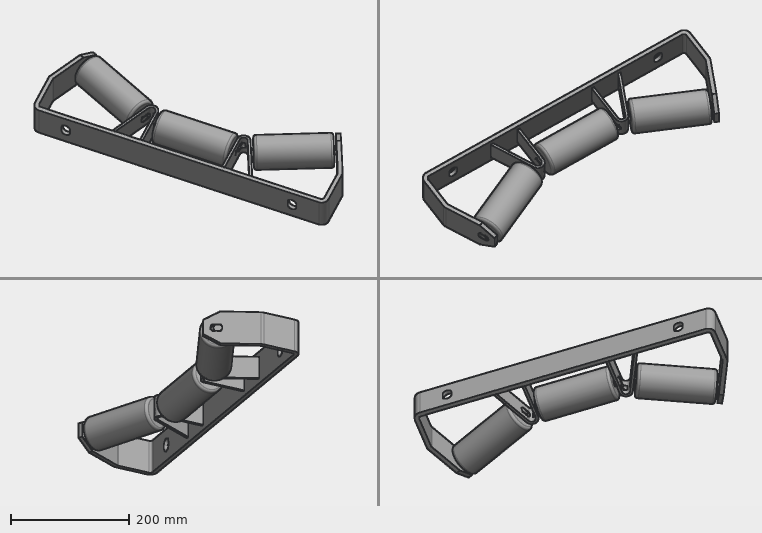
import cadquery as cq
import math


FRAME_LENGTH = 540.0
FRAME_DEPTH = 165.0
STRIP_HEIGHT = 60.0
STRIP_THICKNESS = 8.0
FRAME_BEND_RADIUS = 13.0
ARM_CORNER_Y = 74.5
TROUGH_ANGLE = 25.0
TIP_HEIGHT = 27.0
TIP_CUT_LENGTH = 29.0

MOUNT_SLOT_SPACING = 416.0
MOUNT_SLOT_HEIGHT = 24.0
MOUNT_SLOT_WIDTH = 15.5

BRACKET_HEIGHT = 40.0
BRACKET_THICKNESS = 5.0
BRACKET_FACE_X = 73.0
BRACKET_BEND_RADIUS = 12.0
BRACKET_BEND_Y = 81.5

ROLLER_DIAMETER = 60.0
ROLLER_LENGTH = 136.0
ROLLER_ROUNDING = 5.0
CENTER_ROLLER_Y = 71.0
SIDE_ROLLER_TO_TIP = 25.0
CENTER_AXIS_Z = -2.0
SIDE_AXIS_Z = -0.8

SHAFT_DIAMETER = 15.0
SHAFT_FLATS = 11.5
FLATS_LEAD = 1.5
SIDE_SLOT_LENGTH = 20.0
CENTER_SLOT_LENGTH = 28.0
SHAFT_SLOT_WIDTH = 13.0
CUT_MARGIN = 2.5

TILT = math.radians(TROUGH_ANGLE)
SIN, COS, TAN = math.sin(TILT), math.cos(TILT), math.tan(TILT)
HALF_LENGTH = FRAME_LENGTH / 2
TIP_X = -HALF_LENGTH + (FRAME_DEPTH - ARM_CORNER_Y) * TAN
BEND_CENTER_X = -BRACKET_FACE_X - BRACKET_BEND_RADIUS

CENTER_SPAN = 2 * BRACKET_FACE_X
ARM_TO_BRACKET = ((BEND_CENTER_X - TIP_X) * COS - (BRACKET_BEND_Y - FRAME_DEPTH) * SIN
                  - BRACKET_BEND_RADIUS)
SIDE_SPAN = ARM_TO_BRACKET - STRIP_THICKNESS
SIDE_SLOT_SHIFT = (SIDE_SLOT_LENGTH - SHAFT_DIAMETER) / 2
CENTER_SLOT_SHIFT = (CENTER_SLOT_LENGTH - SHAFT_DIAMETER) / 2


def arm_plane(below_tip, depth, z=0):
    """Plane parallel to the left arm: x up the arm, y along Z, normal into the frame.

    The origin is below_tip down the arm, depth inward from its outer face, and at height z.
    """
    x = TIP_X - below_tip * SIN + depth * COS
    y = FRAME_DEPTH - below_tip * COS - depth * SIN
    return cq.Plane(origin=(x, y, z), xDir=(SIN, COS, 0), normal=(COS, -SIN, 0))


def upright_plane(x, y, z):
    """Plane across the X axis: x along Y, y along Z."""
    return cq.Plane(origin=(x, y, z), xDir=(0, 1, 0), normal=(1, 0, 0))


def inner_face(outer, thickness):
    """Points of the face that lies a thickness to the left of the outer face."""
    normals = []
    for (x0, y0), (x1, y1) in zip(outer, outer[1:]):
        length = math.hypot(x1 - x0, y1 - y0)
        normals.append(((y0 - y1) / length, (x1 - x0) / length))
    before = normals[:1] + normals
    after = normals + normals[-1:]
    points = []
    for (x, y), (ax, ay), (bx, by) in zip(outer, before, after):
        miter = thickness / (1 + ax * bx + ay * by)
        points.append((x + miter * (ax + bx), y + miter * (ay + by)))
    return points


def bent_strip(outer, thickness, bend_radius, height):
    """Strip on edge, bent at every inner point of its outer face."""
    inner = inner_face(outer, thickness)
    strip = cq.Workplane("XY").polyline(outer + inner[::-1]).close().extrude(height / 2, both=True)
    for face, radius in ((outer, bend_radius), (inner, bend_radius - thickness)):
        for x, y in face[1:-1]:
            strip = strip.edges(cq.selectors.NearestToPointSelector((x, y, 0))).fillet(radius)
    return strip


def with_mirror_image(shape):
    return shape.union(shape.mirror("YZ"))


def shaft_slot(plane, length, plate):
    """Cutter for a slot with ends as round as the shaft, through a plate that starts at the plane."""
    depth = plate + CUT_MARGIN
    rounded = cq.Workplane(plane).slot2D(length, SHAFT_DIAMETER).extrude(depth)
    straight = cq.Workplane(plane).rect(length, SHAFT_SLOT_WIDTH).extrude(depth)
    return rounded.intersect(straight)


def tip_cuts():
    """Cutters for the two corners of the left arm tip."""
    plane = arm_plane(0, -CUT_MARGIN)
    depth = STRIP_THICKNESS + 2 * CUT_MARGIN
    upper = (cq.Workplane(plane)
             .polyline([(0, TIP_HEIGHT / 2), (0, STRIP_HEIGHT / 2), (-TIP_CUT_LENGTH, STRIP_HEIGHT / 2)])
             .close().extrude(depth))
    return upper.union(upper.mirror("XY"))


def mount_slots():
    centers = [(-MOUNT_SLOT_SPACING / 2, 0), (MOUNT_SLOT_SPACING / 2, 0)]
    return (cq.Workplane("XZ").pushPoints(centers)
            .slot2D(MOUNT_SLOT_HEIGHT, MOUNT_SLOT_WIDTH, 90).extrude(-STRIP_THICKNESS))


def make_strip_frame():
    left = [(TIP_X, FRAME_DEPTH), (-HALF_LENGTH, ARM_CORNER_Y), (-HALF_LENGTH, 0)]
    right = [(-x, y) for x, y in reversed(left)]
    strip = bent_strip(left + right, STRIP_THICKNESS, FRAME_BEND_RADIUS, STRIP_HEIGHT)
    slot_plane = arm_plane(SIDE_ROLLER_TO_TIP - SIDE_SLOT_SHIFT, 0, SIDE_AXIS_Z)
    arm_cuts = tip_cuts().union(shaft_slot(slot_plane, SIDE_SLOT_LENGTH, STRIP_THICKNESS))
    return strip.cut(with_mirror_image(arm_cuts)).cut(mount_slots())


def make_left_bracket():
    """Upright leg, bend and sloping leg; both feet end inside the back strip."""
    apex_y = BRACKET_BEND_Y + BRACKET_BEND_RADIUS / math.tan(TILT / 2)
    foot_y = STRIP_THICKNESS / 2
    outer = [(-BRACKET_FACE_X, foot_y),
             (-BRACKET_FACE_X, apex_y),
             (-BRACKET_FACE_X - (apex_y - foot_y) * TAN, foot_y)]
    bracket = bent_strip(outer, BRACKET_THICKNESS, BRACKET_BEND_RADIUS, BRACKET_HEIGHT)
    side_plane = arm_plane(SIDE_ROLLER_TO_TIP - SIDE_SLOT_SHIFT, ARM_TO_BRACKET, SIDE_AXIS_Z)
    center_plane = upright_plane(BEND_CENTER_X, CENTER_ROLLER_Y + CENTER_SLOT_SHIFT, SIDE_AXIS_Z)
    side_slot = shaft_slot(side_plane, SIDE_SLOT_LENGTH, BRACKET_THICKNESS)
    center_slot = shaft_slot(center_plane, CENTER_SLOT_LENGTH, BRACKET_BEND_RADIUS)
    return bracket.cut(side_slot).cut(center_slot)


def make_roller(middle, span, start_plate, end_plate):
    """Roller on its shaft, whose flat ends fill the thickness of the two plates.

    The axis is the normal of the middle plane; the flats face its y direction.
    """
    def cylinder(diameter, start, end):
        return cq.Workplane(middle).workplane(offset=start).circle(diameter / 2).extrude(end - start)

    half = span / 2
    shell = cylinder(ROLLER_DIAMETER, -ROLLER_LENGTH / 2, ROLLER_LENGTH / 2).edges().fillet(ROLLER_ROUNDING)
    round_shaft = cylinder(SHAFT_DIAMETER, -half + FLATS_LEAD, half - FLATS_LEAD)
    start, end = -half - start_plate, half + end_plate
    flat_bar = (cq.Workplane(middle).workplane(offset=start)
                .rect(SHAFT_DIAMETER, SHAFT_FLATS).extrude(end - start))
    flat_shaft = cylinder(SHAFT_DIAMETER, start, end).intersect(flat_bar)
    return shell.union(round_shaft).union(flat_shaft)


def make_idler_frame():
    """Strip frame, both brackets and the centre roller fixed between them, as one solid."""
    center_middle = upright_plane(0, CENTER_ROLLER_Y, CENTER_AXIS_Z)
    center_roller = make_roller(center_middle, CENTER_SPAN, BRACKET_THICKNESS, BRACKET_THICKNESS)
    brackets = with_mirror_image(make_left_bracket())
    return make_strip_frame().union(brackets).union(center_roller)


def make_left_side_roller():
    middle = arm_plane(SIDE_ROLLER_TO_TIP, STRIP_THICKNESS + SIDE_SPAN / 2, SIDE_AXIS_Z)
    return make_roller(middle, SIDE_SPAN, STRIP_THICKNESS, BRACKET_THICKNESS)


idler_frame = make_idler_frame()

side_rollers = []
for mirrored in (False, True):
    side_roller = make_left_side_roller()
    if mirrored:
        side_roller = side_roller.mirror("YZ")
    side_rollers.append(side_roller.val())

result = cq.Compound.makeCompound([idler_frame.val(), *side_rollers])